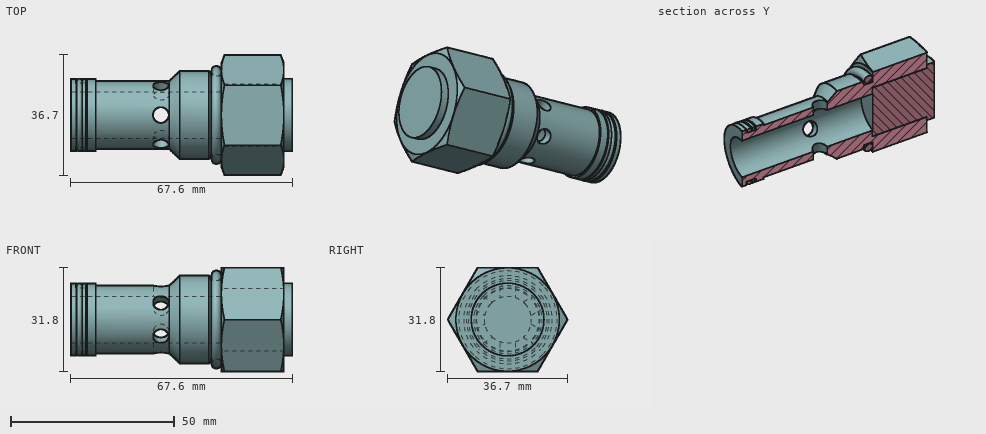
import cadquery as cq
import math


nose_land_end = 1.55
nose_groove_end = 4.95
nose_flange_end = 7.6
cone_start = 30.0
thread_start = 33.25
face_seal_groove_end = 45.9
hex_end = 65.02
overall_length = 67.56

nose_dia = 22.1
nose_groove_dia = 19.56
stem_dia = 20.83
thread_dia = 26.99
face_seal_groove_dia = 24.0
bore_dia = 14.29

hex_across_flats = 31.75
hex_across_corners = hex_across_flats / math.cos(math.pi / 6)
hex_face_dia = 31.6
hex_chamfer_length = 0.95

runout_chamfer_length = 0.75
face_seal_groove_start = 42.8
runout_chamfer_start = face_seal_groove_start - runout_chamfer_length
runout_end_dia = 25.2

cross_hole_count = 6
cross_hole_dia = 4.75
cross_hole_x = 27.45

plug_head_dia = 22.23
plug_shank_dia = 19.05
plug_shank_start = face_seal_groove_end

nose_ring_section = 1.78
nose_ring_outer_dia = 22.23
backup_ring_width = 1.1
backup_ring_start = 3.48
backup_ring_outer_dia = nose_dia
face_ring_section = 3.0


def cylinder(diameter, start, end):
    """Solid cylinder about X between two stations."""
    return cq.Workplane("YZ").workplane(offset=start).circle(diameter / 2).extrude(end - start)


def revolve_profile(points):
    """Revolve a closed (x, radius) outline about X."""
    return cq.Workplane("XY").polyline(points).close().revolve(360, (0, 0, 0), (1, 0, 0))


def make_hexagon():
    """Hexagon with flats facing +Z and -Z and its corners chamfered at both ends."""
    hexagon = (
        cq.Workplane("YZ").workplane(offset=face_seal_groove_end)
        .polygon(6, hex_across_corners)
        .extrude(hex_end - face_seal_groove_end)
    )
    corner_radius = hex_across_corners / 2
    chamfer_envelope = revolve_profile([
        (face_seal_groove_end, 0),
        (face_seal_groove_end, hex_face_dia / 2),
        (face_seal_groove_end + hex_chamfer_length, corner_radius),
        (hex_end - hex_chamfer_length, corner_radius),
        (hex_end, hex_face_dia / 2),
        (hex_end, 0),
    ])
    return hexagon.intersect(chamfer_envelope)


def make_housing():
    """Nose, ported stem, thread barrel and hexagon, bored for flow and for the end plug."""
    barrel = revolve_profile([
        (0, 0),
        (0, nose_dia / 2),
        (nose_land_end, nose_dia / 2),
        (nose_land_end, nose_groove_dia / 2),
        (nose_groove_end, nose_groove_dia / 2),
        (nose_groove_end, nose_dia / 2),
        (nose_flange_end, nose_dia / 2),
        (nose_flange_end, stem_dia / 2),
        (cone_start, stem_dia / 2),
        (thread_start, thread_dia / 2),
        (runout_chamfer_start, thread_dia / 2),
        (face_seal_groove_start, runout_end_dia / 2),
        (face_seal_groove_start, face_seal_groove_dia / 2),
        (face_seal_groove_end, face_seal_groove_dia / 2),
        (face_seal_groove_end, 0),
    ])
    housing = barrel.union(make_hexagon())
    housing = housing.cut(cylinder(bore_dia, 0, plug_shank_start))
    housing = housing.cut(cylinder(plug_shank_dia, plug_shank_start, hex_end))
    radial_hole = cq.Workplane("XY").center(cross_hole_x, 0).circle(cross_hole_dia / 2).extrude(stem_dia)
    for index in range(cross_hole_count):
        angle = index * 360 / cross_hole_count
        housing = housing.cut(radial_hole.rotate((0, 0, 0), (1, 0, 0), angle))
    return housing


def make_end_plug():
    """Headed plug that fills the rear of the housing and closes the flow bore."""
    shank = cylinder(plug_shank_dia, plug_shank_start, hex_end)
    head = cylinder(plug_head_dia, hex_end, overall_length)
    return shank.union(head)


def make_torus(outer_dia, section, center_x):
    """Round-section ring about X."""
    pitch_radius = (outer_dia - section) / 2
    return (
        cq.Workplane("XY").center(center_x, pitch_radius)
        .circle(section / 2)
        .revolve(360, (0, -pitch_radius, 0), (1, -pitch_radius, 0))
    )


def make_nose_o_ring():
    """O-ring against the backup ring, flattened where it is squeezed onto the groove floor."""
    center_x = backup_ring_start - nose_ring_section / 2
    ring = make_torus(nose_ring_outer_dia, nose_ring_section, center_x)
    return ring.cut(cylinder(nose_groove_dia, nose_land_end, nose_groove_end))


def make_face_o_ring():
    """Large O-ring seated in its groove against the front face of the hexagon."""
    center_x = face_seal_groove_end - face_ring_section / 2
    outer_dia = face_seal_groove_dia + 2 * face_ring_section
    return make_torus(outer_dia, face_ring_section, center_x)


def make_backup_ring():
    """Flat ring behind the nose O-ring, seated on the groove floor."""
    ring_end = backup_ring_start + backup_ring_width
    ring = cylinder(backup_ring_outer_dia, backup_ring_start, ring_end)
    return ring.cut(cylinder(nose_groove_dia, backup_ring_start, ring_end))


housing = make_housing()
end_plug = make_end_plug()
backup_ring = make_backup_ring()
nose_o_ring = make_nose_o_ring()
face_o_ring = make_face_o_ring()

result = cq.Compound.makeCompound([
    housing.val(),
    end_plug.val(),
    backup_ring.val(),
    nose_o_ring.val(),
    face_o_ring.val(),
])